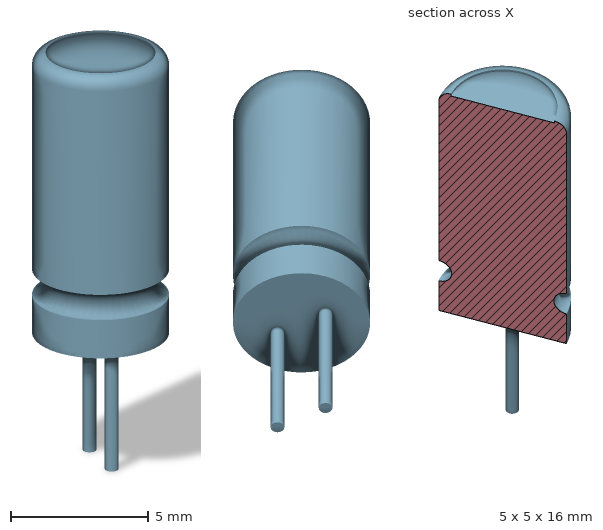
import cadquery as cq

total_height = 16
can_diameter = 5.0
can_radius = can_diameter / 2

lead_length = 5.0
lead_diameter = 0.5
lead_pitch = 2.0

base_band_height = 1.5
groove_radius = 0.5
top_round_radius = 0.5
top_recess_depth = 0.1

can_bottom = lead_length
can_height = total_height - lead_length
groove_center_height = can_bottom + base_band_height + groove_radius
top_face_radius = can_radius - top_round_radius


def make_can():
    """Cylinder with a rounded top rim and a shallow recess inside it."""
    can = cq.Workplane("XY").workplane(offset=can_bottom).circle(can_radius).extrude(can_height)
    can = can.faces(">Z").edges().fillet(top_round_radius)
    recess = (
        cq.Workplane("XY")
        .workplane(offset=total_height - top_recess_depth)
        .circle(top_face_radius)
        .extrude(top_recess_depth)
    )
    return can.cut(recess)


def make_groove():
    """Half-round ring around the can, just above the base band."""
    return cq.Workplane("XY").add(
        cq.Solid.makeTorus(can_radius, groove_radius, cq.Vector(0, 0, groove_center_height))
    )


def make_leads():
    """Two round leads side by side along X."""
    lead_places = [(-lead_pitch / 2, 0), (lead_pitch / 2, 0)]
    return cq.Workplane("XY").pushPoints(lead_places).circle(lead_diameter / 2).extrude(lead_length)


result = make_can().cut(make_groove()).union(make_leads())